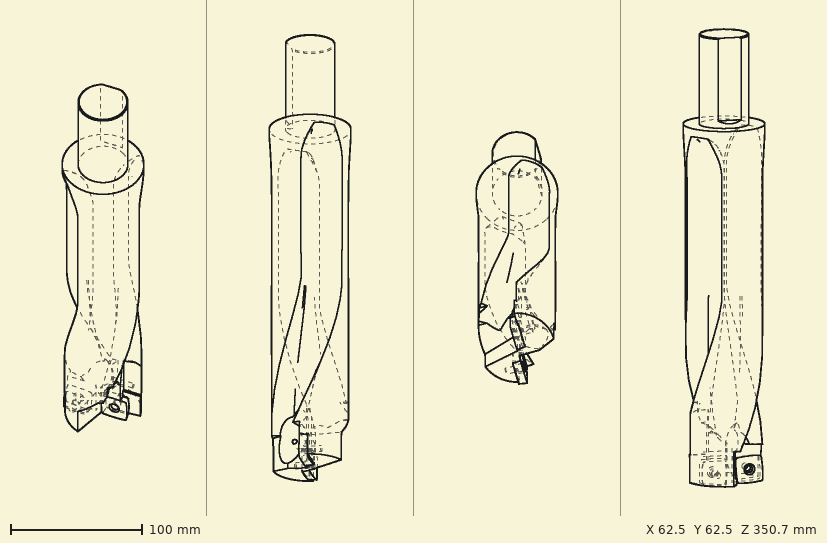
import cadquery as cq
import math

total_length = 350.7
shank_length = 70.0
shank_diameter = 38.09
shank_chamfer = 0.8
shank_flat_offset = 16.75
shank_flat_ramp = 3.5

flange_diameter = 62.5
flange_thickness = 5.7
neck_taper_height = 29.0
neck_blend_height = 5.7
neck_blend_step = 0.2

body_diameter = 58.9
upper_body_growth = 0.1
collar_diameter = 58.2
collar_height = 23.8
collar_blend_height = 2.1
point_height = 1.2
point_rim_height = 4.0

flute_count = 2
flute_direction = 217.2
flute_floor_distance = 10.0
flute_floor_half_width = 8.2
flute_wall_flare = 31.0
flute_corner_radius = 1.8
flute_depth = 26.0
flute_twist_top = 147.6
flute_twist_end = 30.0
flute_twist = 83.0
flute_twist_exponent = 1.32
flute_sections = 8
flute_runout_radius = 30.0

insert_size = 19.8
insert_bulge = 0.6
insert_corner_radius = 1.8
insert_relief = 7
insert_thickness = 6.4
insert_hole = 5.7
insert_countersink = 8.4
insert_countersink_angle = 90
screw_hole = 4.7
screw_hole_depth = 8.0
center_insert_x = 9.2
edge_insert_x = -20.0
edge_insert_tilt = 4
edge_insert_lift = 0.5
center_insert_z = insert_size / 2 + insert_bulge
edge_insert_z = center_insert_z + edge_insert_lift

gullet_root_x = -1.5
gullet_mouth_x = -9.8
gullet_side_height = 26.5
gullet_top = 44.0
gullet_draft = 6
land_step_x = 14.2
lower_land_depth = 5.5
lower_land_top = 26.0
upper_land_depth = 7.2
upper_land_top = 60.5

scoop_center = (-10.5, 12.8, 27.3)
scoop_half_length = 23.0
scoop_half_width = 12.5
scoop_tilt = 20.0
edge_gullet_floor_x = -6.0
edge_gullet_bend_y = 16.0
edge_gullet_top = 31.0
coolant_hole = 3.5
coolant_depth = 30.0

body_radius = body_diameter / 2
flange_top = total_length - shank_length
flange_bottom = flange_top - flange_thickness
flute_straight_top = flange_bottom - neck_taper_height
clearance = flange_diameter


def blank():
    """Revolved outline of the drill before any cut."""
    collar_radius = collar_diameter / 2
    shank_radius = shank_diameter / 2
    outline = [
        (0, point_height),
        (collar_radius, point_rim_height),
        (collar_radius, collar_height),
        (body_radius, collar_height + collar_blend_height),
        (body_radius, flute_twist_top),
        (body_radius + upper_body_growth, flute_straight_top - neck_blend_height),
        (body_radius + neck_blend_step, flute_straight_top),
        (flange_diameter / 2, flange_bottom),
        (flange_diameter / 2, flange_top),
        (shank_radius, flange_top),
        (shank_radius, total_length - shank_chamfer),
        (shank_radius - shank_chamfer, total_length),
        (0, total_length),
    ]
    return cq.Workplane("XZ").polyline(outline).close().revolve(360, (0, 0), (0, 1))


def shank_flat():
    """Clamping flat on the +Y side, ending in a 45 degree ramp just above the flange."""
    ramp_run = shank_diameter / 2 - shank_flat_offset
    outline = [
        (shank_flat_offset, total_length),
        (shank_flat_offset, flange_top + shank_flat_ramp + ramp_run),
        (shank_flat_offset + 2 * ramp_run, flange_top + shank_flat_ramp - ramp_run),
        (shank_flat_offset + 2 * ramp_run, total_length),
    ]
    return cq.Workplane("YZ").polyline(outline).close().extrude(clearance, both=True)


def flute_profile(height, twist):
    """Closed channel section of one flute, turned to where it lies at the given height."""
    flare = math.radians(flute_wall_flare)
    corner_turn = math.pi / 2 - flare
    tangent = flute_corner_radius * math.tan(corner_turn / 2)
    middle = flute_corner_radius * (1 - math.cos(corner_turn / 2))
    floor_end = flute_floor_half_width - tangent
    arc_middle = floor_end + flute_corner_radius * math.sin(corner_turn / 2)
    wall_start_depth = tangent * math.cos(flare)
    wall_start = flute_floor_half_width + tangent * math.sin(flare)
    mouth = flute_floor_half_width + flute_depth * math.tan(flare)
    turn = math.radians(flute_direction - twist)

    def place(depth, across):
        along = flute_floor_distance + depth
        return cq.Vector(
            along * math.cos(turn) - across * math.sin(turn),
            along * math.sin(turn) + across * math.cos(turn),
            height,
        )

    def corner(side):
        return [
            place(0, side * floor_end),
            place(middle, side * arc_middle),
            place(wall_start_depth, side * wall_start),
        ]

    low = corner(-1)
    high = corner(1)
    low_mouth = place(flute_depth, -mouth)
    high_mouth = place(flute_depth, mouth)
    return cq.Wire.assembleEdges([
        cq.Edge.makeLine(low_mouth, low[2]),
        cq.Edge.makeThreePointArc(low[2], low[1], low[0]),
        cq.Edge.makeLine(low[0], high[0]),
        cq.Edge.makeThreePointArc(high[0], high[1], high[2]),
        cq.Edge.makeLine(high[2], high_mouth),
        cq.Edge.makeLine(high_mouth, low_mouth),
    ])


def flute():
    """Cutter for one flute: twisted foot, straight run and curved run-out."""
    step = (flute_twist_top - flute_twist_end) / flute_sections
    sections = []
    for index in range(flute_sections + 1):
        drop = index * step
        twist = flute_twist * (index / flute_sections) ** flute_twist_exponent
        sections.append(flute_profile(flute_twist_top - drop, twist))
    twisted = cq.Solid.makeLoft(sections, False)

    straight_length = flute_straight_top - flute_twist_top
    top_profile = flute_profile(flute_twist_top, 0)
    straight = cq.Solid.extrudeLinear(top_profile, [], cq.Vector(0, 0, straight_length))

    turn = math.radians(flute_direction)
    outward = cq.Vector(math.cos(turn), math.sin(turn), 0)
    across = cq.Vector(-math.sin(turn), math.cos(turn), 0)
    pivot = outward * (flute_floor_distance + flute_runout_radius)
    pivot += cq.Vector(0, 0, flute_straight_top)
    runout_profile = flute_profile(flute_straight_top, 0)
    runout = cq.Solid.revolve(runout_profile, [], 90, pivot, pivot + across)
    return [twisted, straight, runout]


def land(depth, bottom, top):
    """Cutter that leaves a flat facing -Y at the given depth, right of the land step."""
    block = cq.Workplane("XY").box(clearance, clearance, top - bottom, centered=False)
    return block.translate((land_step_x, depth - clearance, bottom))


def center_gullet():
    """Chip space on the -Y side, ahead of the centre insert."""
    slope_run = gullet_top - gullet_side_height
    front = cq.Workplane("XZ", origin=(0, -body_radius, 0)).polyline([
        (gullet_mouth_x, -clearance),
        (gullet_mouth_x, gullet_side_height),
        (gullet_mouth_x + slope_run, gullet_top),
        (clearance, gullet_top),
        (clearance, -clearance),
    ]).close().extrude(-clearance, taper=gullet_draft)
    plan = cq.Workplane("XY").polyline([
        (gullet_mouth_x, -body_radius),
        (gullet_root_x, 0),
        (land_step_x, 0),
        (land_step_x, -body_radius),
    ]).close().extrude(gullet_top)
    lower_land = land(lower_land_depth, 0, lower_land_top)
    upper_land = land(upper_land_depth, lower_land_top, upper_land_top)
    return front.intersect(plan).union(lower_land).union(upper_land)


def edge_scoop():
    """Tilted ellipsoidal scoop and the open chip space below it."""
    scoop = (
        cq.Workplane("XZ")
        .moveTo(0, -scoop_half_length)
        .ellipseArc(scoop_half_width, scoop_half_length, -90, 90, startAtCurrent=True)
        .close()
        .revolve(360, (0, 0), (0, 1))
        .rotate((0, 0, 0), (1, 0, 0), scoop_tilt)
        .translate(scoop_center)
    )
    gullet = cq.Workplane("XY").polyline([
        (edge_gullet_floor_x, 0),
        (edge_gullet_floor_x, edge_gullet_bend_y),
        (0, body_radius),
        (-clearance, body_radius),
        (-clearance, 0),
    ]).close().extrude(edge_gullet_top)
    return scoop.union(gullet)


def coolant_bore():
    """Coolant outlet in the deepest part of the scoop."""
    bore = cq.Workplane("YZ").circle(coolant_hole / 2).extrude(coolant_depth)
    return bore.translate(scoop_center)


def insert_blank():
    """Plate with its rake face on Y = 0, facing +Y, and its sides relieved towards the back."""
    half = insert_size / 2
    bulged = half + insert_bulge
    return (
        cq.Workplane("XZ")
        .moveTo(-half, -half)
        .threePointArc((0, -bulged), (half, -half))
        .threePointArc((bulged, 0), (half, half))
        .threePointArc((0, bulged), (-half, half))
        .threePointArc((-bulged, 0), (-half, -half))
        .close()
        .extrude(insert_thickness, taper=insert_relief)
        .edges("not (<Y or >Y)")
        .fillet(insert_corner_radius)
    )


def insert():
    """Insert with its countersunk screw hole."""
    return (
        insert_blank()
        .faces(">Y")
        .workplane(origin=(0, 0, 0))
        .cskHole(insert_hole, insert_countersink, insert_countersink_angle)
    )


def seat_cutter():
    """Space taken by an insert, with the screw hole in the seat behind it."""
    bore = cq.Workplane("XZ").circle(screw_hole / 2).extrude(insert_thickness + screw_hole_depth)
    return insert_blank().union(bore)


def place_at_tip(shape, center_x, center_z, tilt, turn):
    """Turn a shape about Z, tilt it in its own plane and move it to its place at the tip."""
    turned = shape.rotate((0, 0, 0), (0, 0, 1), turn)
    tilted = turned.rotate((0, 0, 0), (0, 1, 0), tilt)
    return tilted.translate((center_x, 0, center_z))


insert_places = [
    (center_insert_x, center_insert_z, 0, 180),
    (edge_insert_x, edge_insert_z, edge_insert_tilt, 0),
]

body = blank().cut(shank_flat())
for index in range(flute_count):
    flute_turn = 360 / flute_count * index
    for cutter in flute():
        body = body.cut(cq.Workplane(cutter).rotate((0, 0, 0), (0, 0, 1), flute_turn))
body = body.cut(center_gullet()).cut(edge_scoop()).cut(coolant_bore())
for place in insert_places:
    body = body.cut(place_at_tip(seat_cutter(), *place))

inserts = [place_at_tip(insert(), *place) for place in insert_places]

result = cq.Compound.makeCompound([body.val(), *[plate.val() for plate in inserts]])